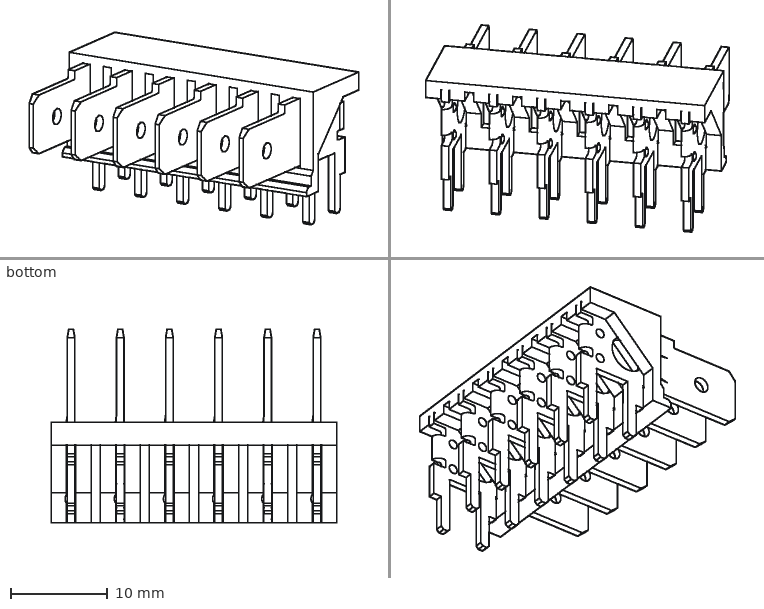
import cadquery as cq


terminal_count = 6
pitch = 5.08
housing_length = 29.52

housing_top = 11.0
housing_front = -9.08
roof_underside = 9.07
roof_depth = 3.08
wall_rear = -8.03
housing_bottom = 0.1
bevel_top = 2.6
bevel_bottom = 2.07
step_front = -9.47
lip_front = -10.4
lip_top = 1.03
lip_corner = 0.5
lip_radius = 0.7

slot_width = 0.95
slot_top = 10.07
slot_bottom = bevel_top

thickness = 0.8
axis_height = 6.0
blade_width = 6.3
blade_top = axis_height + blade_width / 2
blade_bottom = axis_height - blade_width / 2
blade_tip = -20.0
tip_length = 0.9
tip_corner = 0.8
tip_thickness = 0.5
shoulder_front = -12.02
shoulder_fillet = 0.15
blade_hole_diameter = 1.65
blade_hole_y = -15.53
body_hole_diameter = 4.0
body_hole_y = -6.04

leg_width = 1.1
leg_length = 4.0
leg_spacing = 5.08
rear_leg_y = -1.49
leg_centers = (rear_leg_y, rear_leg_y - leg_spacing)
leg_tip_chamfer = 0.3
leg_gap_top = 2.55

notch_depth = 1.54
notch_top = 8.75
notch_bottom = 3.79
notch_fillet = 0.25
tongue_top = 7.72
tongue_bottom = 4.8
tongue_bend_start = -1.25
tongue_bend_radius = 0.88

bump_diameter = 1.0
bump_height = 0.22
bump_y = -2.48
bump_centers_z = (7.12, 4.02)

barb_rear = housing_front
barb_front = -11.1
barb_height = 0.3
barb_front_width = 3.05
barb_rear_width = 2.65


def x_extrude(sketch, width):
    """Extrude a YZ sketch evenly to both sides of X = 0."""
    return sketch.extrude(width / 2, both=True)


def x_box(y_rear, y_front, z_low, z_high, width):
    """Box centred on X = 0 between the given Y and Z limits."""
    return (
        cq.Workplane("XY")
        .box(width, y_rear - y_front, z_high - z_low, centered=(True, False, False))
        .translate((0, y_front, z_low))
    )


def make_housing():
    """Roof, 45 degree brace and front wall with a stepped foot, cut by the slots."""
    brace_drop = roof_depth + wall_rear
    section = (
        cq.Workplane("YZ")
        .moveTo(0, housing_top)
        .lineTo(0, roof_underside)
        .lineTo(-roof_depth, roof_underside)
        .lineTo(wall_rear, roof_underside + brace_drop)
        .lineTo(wall_rear, housing_bottom)
        .lineTo(lip_front, housing_bottom)
        .lineTo(lip_front, lip_top - lip_corner)
        .radiusArc((lip_front + lip_corner, lip_top), lip_radius)
        .lineTo(step_front, lip_top)
        .lineTo(step_front, bevel_bottom)
        .lineTo(housing_front, bevel_top)
        .lineTo(housing_front, housing_top)
        .close()
    )
    housing = x_extrude(section, housing_length)
    slot = x_box(0, housing_front, slot_bottom, slot_top, slot_width)
    slot_count = 2 * terminal_count - 1
    for index in range(slot_count):
        x = (index - (slot_count - 1) / 2) * pitch / 2
        housing = housing.cut(slot.translate((x, 0, 0)))
    return housing


def make_sheet():
    """Flat terminal: body, blade and legs, with holes, notches and tip taper."""
    body = x_box(0, wall_rear, 0, slot_top, thickness)
    shoulder = x_box(wall_rear, shoulder_front, blade_bottom, slot_top, thickness)
    blade = x_box(wall_rear, blade_tip, blade_bottom, blade_top, thickness)
    sheet = body.union(shoulder).union(blade)

    sheet = (
        sheet.edges(cq.selectors.NearestToPointSelector((0, shoulder_front, blade_top)))
        .fillet(shoulder_fillet)
    )
    sheet = sheet.intersect(make_tip_envelope())

    for center in leg_centers:
        leg_rear = center + leg_width / 2
        leg_front = center - leg_width / 2
        leg = x_box(leg_rear, leg_front, -leg_length, leg_gap_top, thickness)
        sheet = sheet.union(leg.edges("|X and <Z").chamfer(leg_tip_chamfer))
    gap_rear = leg_centers[0] - leg_width / 2
    gap_front = leg_centers[1] + leg_width / 2
    sheet = sheet.cut(x_box(gap_rear, gap_front, 0, leg_gap_top, thickness))

    for y, diameter in ((blade_hole_y, blade_hole_diameter), (body_hole_y, body_hole_diameter)):
        hole = cq.Workplane("YZ").center(y, axis_height).circle(diameter / 2)
        sheet = sheet.cut(x_extrude(hole, thickness))

    rear_pocket = x_box(0, tongue_bend_start, tongue_bottom, tongue_top, thickness)
    sheet = sheet.cut(rear_pocket)
    for low, high in ((notch_bottom, tongue_bottom), (tongue_top, notch_top)):
        notch = x_box(0, -notch_depth, low, high, thickness).edges("|X and <Y").fillet(notch_fillet)
        sheet = sheet.cut(notch)
    return sheet


def make_tip_envelope():
    """Blade limits: corners cut off in the side outline, faces tapered at the tip."""
    taper_start = blade_tip + tip_length
    outline = (
        cq.Workplane("YZ")
        .moveTo(0, slot_top)
        .lineTo(taper_start, slot_top)
        .lineTo(taper_start, blade_top)
        .lineTo(blade_tip, blade_top - tip_corner)
        .lineTo(blade_tip, blade_bottom + tip_corner)
        .lineTo(taper_start, blade_bottom)
        .lineTo(taper_start, 0)
        .lineTo(0, 0)
        .close()
    )
    plan = (
        cq.Workplane("XY")
        .moveTo(thickness / 2, 0)
        .lineTo(thickness / 2, taper_start)
        .lineTo(tip_thickness / 2, blade_tip)
        .lineTo(-tip_thickness / 2, blade_tip)
        .lineTo(-thickness / 2, taper_start)
        .lineTo(-thickness / 2, 0)
        .close()
        .extrude(slot_top)
    )
    return x_extrude(outline, thickness).intersect(plan)


def make_tongue():
    """Quarter bend from the sheet towards +X, about a vertical axis."""
    axis_x = tongue_bend_radius - thickness / 2
    inner_radius = tongue_bend_radius - thickness
    return (
        cq.Workplane("XY")
        .workplane(offset=tongue_bottom)
        .moveTo(-thickness / 2, tongue_bend_start)
        .radiusArc((axis_x, tongue_bend_start + tongue_bend_radius), tongue_bend_radius)
        .lineTo(axis_x, tongue_bend_start + inner_radius)
        .radiusArc((thickness / 2, tongue_bend_start), -inner_radius)
        .close()
        .extrude(tongue_top - tongue_bottom)
    )


def make_bump(z):
    """Spherical cap standing on the -X face."""
    rim_radius = bump_diameter / 2
    sphere_radius = (rim_radius**2 + bump_height**2) / (2 * bump_height)
    face_x = -thickness / 2
    return (
        cq.Workplane("XY")
        .moveTo(0, 0)
        .lineTo(0, rim_radius)
        .lineTo(face_x, rim_radius)
        .radiusArc((face_x - bump_height, 0), -sphere_radius)
        .close()
        .revolve(360, (0, 0), (1, 0))
        .translate((0, bump_y, z))
    )


def make_barb():
    """Wedge rising from the blade face towards the housing, with sloping sides."""
    rear_half = barb_rear_width / 2
    front_half = barb_front_width / 2
    wedge = (
        cq.Workplane("XY")
        .moveTo(0, barb_rear)
        .lineTo(-thickness / 2 - barb_height, barb_rear)
        .lineTo(-thickness / 2, barb_front)
        .lineTo(0, barb_front)
        .close()
        .extrude(barb_front_width)
        .translate((0, 0, axis_height - front_half))
    )
    sides = (
        cq.Workplane("YZ")
        .moveTo(barb_rear, axis_height - rear_half)
        .lineTo(barb_rear, axis_height + rear_half)
        .lineTo(barb_front, axis_height + front_half)
        .lineTo(barb_front, axis_height - front_half)
        .close()
    )
    return wedge.intersect(x_extrude(sides, 2 * thickness))


def make_terminal():
    terminal = make_sheet().union(make_tongue()).union(make_barb())
    for z in bump_centers_z:
        terminal = terminal.union(make_bump(z))
    return terminal


result = make_housing()
one_terminal = make_terminal()
for index in range(terminal_count):
    x = (index - (terminal_count - 1) / 2) * pitch
    result = result.union(one_terminal.translate((x, 0, 0)))